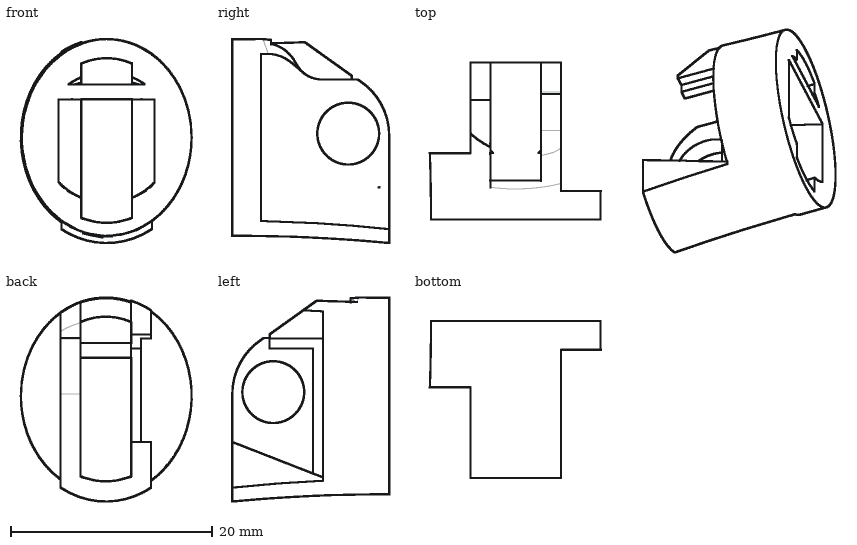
import cadquery as cq
import math

HALF_WIDTH = 8.425
HALF_HEIGHT = 9.765
LENGTH = 15.6
FLARE = 0.72
LEFT_COLLAR_END = 6.6
RIGHT_COLLAR_END = 2.86

ARM_OUTER = 4.5
SLOT_HALF = 2.51
SLOT_FLOOR = -8.46
SLOT_FLOOR_SIDE = -7.97
SLOT_ROOF = 7.87
SLOT_ROOF_SIDE = 7.34
SLOT_ROOF_END = 3.86

BORE_RADIUS = 6.5
BORE_DROOP = 0.08
RECESS_HALF = 4.77
RECESS_DEPTH = 6.69
WEB_BOTTOM = 3.78
WEB_TOP = 5.29

BROW_ROUND = 3.35
PLATE_TOP = 5.77
PLATE_TOP_FRONT = 8.87
PLATE_TOP_REAR = 12.48
PLATE_FILLET = 2.8
PLATE_FILLET_SWEEP = math.radians(125)
PLATE_ARC_RADIUS = 6.5
PLATE_ARC_Z = 0.2
PLATE_ARC_END = 12.65
HINGE_Y = 11.52
HINGE_Z = 0.39
HINGE_RADIUS = 3.06

FINGER_END = 11.89
FINGER_TIP_TOP = 6.13
FINGER_SLOPE_START = 7.23
FINGER_SLOPE_TOP = 9.46
FINGER_BOTTOM = 5.72
LINER = 0.98
LINER_X = -(ARM_OUTER + SLOT_HALF) / 2
RAMP_FRONT_Z = -8.07
RAMP_REAR_Z = -4.56

EDGE_REACH = 0.1
MARGIN = 5.0
FAR = HALF_HEIGHT + MARGIN
REAR = LENGTH + MARGIN


def box(x, y, z):
    """Box from three (low, high) pairs."""
    size = [high - low for low, high in (x, y, z)]
    return cq.Workplane("XY").box(*size, centered=False).translate((x[0], y[0], z[0]))


def side_prism(outline, x_low, x_high):
    """Extrude a closed YZ outline from x_low to x_high."""
    return outline.close().extrude(x_high - x_low).translate((x_low, 0, 0))


def elliptical_revolve(profile):
    """Revolve a (radius, y) profile about Y, then squeeze it in X to an ellipse."""
    round_body = profile.close().revolve(360, (0, 0, 0), (0, 1, 0)).val()
    squeeze = HALF_WIDTH / HALF_HEIGHT
    matrix = cq.Matrix([[squeeze, 0, 0, 0], [0, 1, 0, 0], [0, 0, 1, 0]])
    return cq.Workplane(obj=round_body.transformGeometry(matrix))


def outer_body():
    """Gently flared elliptical body, cut back to the arms behind the collar."""
    flare_middle = LENGTH / 2
    body = elliptical_revolve(
        cq.Workplane("XY")
        .lineTo(HALF_HEIGHT, 0)
        .threePointArc((HALF_HEIGHT + FLARE / 4, flare_middle), (HALF_HEIGHT + FLARE, LENGTH))
        .lineTo(0, LENGTH)
    )
    body = body.cut(box((-FAR, -ARM_OUTER), (LEFT_COLLAR_END, REAR), (-FAR, FAR)))
    return body.cut(box((ARM_OUTER, FAR), (RIGHT_COLLAR_END, REAR), (-FAR, FAR)))


def slot_cutter():
    """Slot between the arms, roofed at the front and open at the top behind."""
    slot = (
        cq.Workplane("XZ")
        .moveTo(-SLOT_HALF, SLOT_FLOOR_SIDE)
        .threePointArc((0, SLOT_FLOOR), (SLOT_HALF, SLOT_FLOOR_SIDE))
        .lineTo(SLOT_HALF, SLOT_ROOF_SIDE)
        .threePointArc((0, SLOT_ROOF), (-SLOT_HALF, SLOT_ROOF_SIDE))
        .close()
        .extrude(-REAR)
    )
    return slot.union(box((-SLOT_HALF, SLOT_HALF), (SLOT_ROOF_END, REAR), (0, FAR)))


def recess_cutter():
    """Drooping bore limited by side walls that converge on the slot."""
    direction = cq.Vector(0, REAR, -BORE_DROOP * REAR)
    circle = cq.Wire.makeCircle(BORE_RADIUS, cq.Vector(0, 0, 0), cq.Vector(0, 1, 0))
    bore = cq.Workplane(obj=cq.Solid.extrudeLinear(circle, [], direction))
    wedge = (
        cq.Workplane("XY")
        .workplane(offset=-FAR)
        .polyline([
            (-RECESS_HALF, 0),
            (RECESS_HALF, 0),
            (SLOT_HALF, RECESS_DEPTH),
            (-SLOT_HALF, RECESS_DEPTH),
        ])
        .close()
        .extrude(2 * FAR)
    )
    return bore.intersect(wedge)


def web():
    """Bar left standing across the slot and the recess."""
    return box((-RECESS_HALF, RECESS_HALF), (0, SLOT_ROOF_END), (WEB_BOTTOM, WEB_TOP))


def plate_cutter():
    """Stock above the hinge plate, from the concave fillet to the rear corner."""
    arc_y = LENGTH - PLATE_ARC_RADIUS
    arc_end_angle = math.acos((PLATE_ARC_END - arc_y) / PLATE_ARC_RADIUS)

    def corner(angle):
        return (
            arc_y + PLATE_ARC_RADIUS * math.cos(angle),
            PLATE_ARC_Z + PLATE_ARC_RADIUS * math.sin(angle),
        )

    def fillet_point(angle):
        return (
            PLATE_TOP_FRONT - PLATE_FILLET * math.sin(angle),
            PLATE_TOP + PLATE_FILLET * (1 - math.cos(angle)),
        )

    outline = (
        cq.Workplane("YZ")
        .moveTo(fillet_point(PLATE_FILLET_SWEEP)[0], FAR)
        .lineTo(*fillet_point(PLATE_FILLET_SWEEP))
        .threePointArc(fillet_point(PLATE_FILLET_SWEEP / 2), fillet_point(0))
        .lineTo(PLATE_TOP_REAR, PLATE_TOP)
        .lineTo(*corner(arc_end_angle))
        .threePointArc(corner(arc_end_angle / 2), corner(0))
        .lineTo(REAR, PLATE_ARC_Z)
        .lineTo(REAR, FAR)
    )
    return side_prism(outline, -SLOT_HALF, FAR)


def body_with_plate():
    """Outer body with the hinge plate shaped and the brow above it rounded."""
    body = outer_body().cut(plate_cutter())
    brow_y = PLATE_TOP_FRONT - PLATE_FILLET
    brow = cq.selectors.BoxSelector(
        (-SLOT_HALF + EDGE_REACH, brow_y - EDGE_REACH, PLATE_TOP + PLATE_FILLET / 2),
        (ARM_OUTER - EDGE_REACH, brow_y + PLATE_FILLET / 2, FAR),
    )
    return body.edges(brow).fillet(BROW_ROUND)


def hinge_hole():
    """Round hole through the hinge plate."""
    outline = cq.Workplane("YZ").center(HINGE_Y, HINGE_Z).circle(HINGE_RADIUS)
    return outline.extrude(FAR)


def ramp_height(y):
    """Height of the ramp on top of the lower arm."""
    slope = (RAMP_REAR_Z - RAMP_FRONT_Z) / (LENGTH - LEFT_COLLAR_END)
    return RAMP_FRONT_Z + slope * (y - LEFT_COLLAR_END)


def gap_cutter(front, top, x_low, x_high):
    """Gap above the ramp, behind y = front and below z = top."""
    outline = cq.Workplane("YZ").polyline([
        (front, top),
        (front, ramp_height(front)),
        (REAR, ramp_height(REAR)),
        (REAR, top),
    ])
    return side_prism(outline, x_low, x_high)


def finger_cutter():
    """Stock above the finger slope and behind the finger tip."""
    slope = (FINGER_SLOPE_TOP - FINGER_TIP_TOP) / (FINGER_SLOPE_START - FINGER_END)
    outline = cq.Workplane("YZ").polyline([
        (FINGER_END, 0),
        (FINGER_END, FINGER_TIP_TOP),
        (FINGER_END + (FAR - FINGER_TIP_TOP) / slope, FAR),
        (REAR, FAR),
        (REAR, 0),
    ])
    return side_prism(outline, -FAR, -SLOT_HALF)


def left_arm_cutters():
    """Finger slope, outer gap, gap inside the liner, and the ramp run-out in the slot."""
    return [
        finger_cutter(),
        gap_cutter(LEFT_COLLAR_END, FINGER_BOTTOM, -FAR, LINER_X),
        gap_cutter(LEFT_COLLAR_END + LINER, FINGER_BOTTOM - LINER, LINER_X, -SLOT_HALF),
        gap_cutter(LEFT_COLLAR_END, FINGER_BOTTOM, -SLOT_HALF, SLOT_HALF),
    ]


openings = slot_cutter().union(recess_cutter()).cut(web())
cutters = [openings, hinge_hole()] + left_arm_cutters()

result = body_with_plate()
for cutter in cutters:
    result = result.cut(cutter)